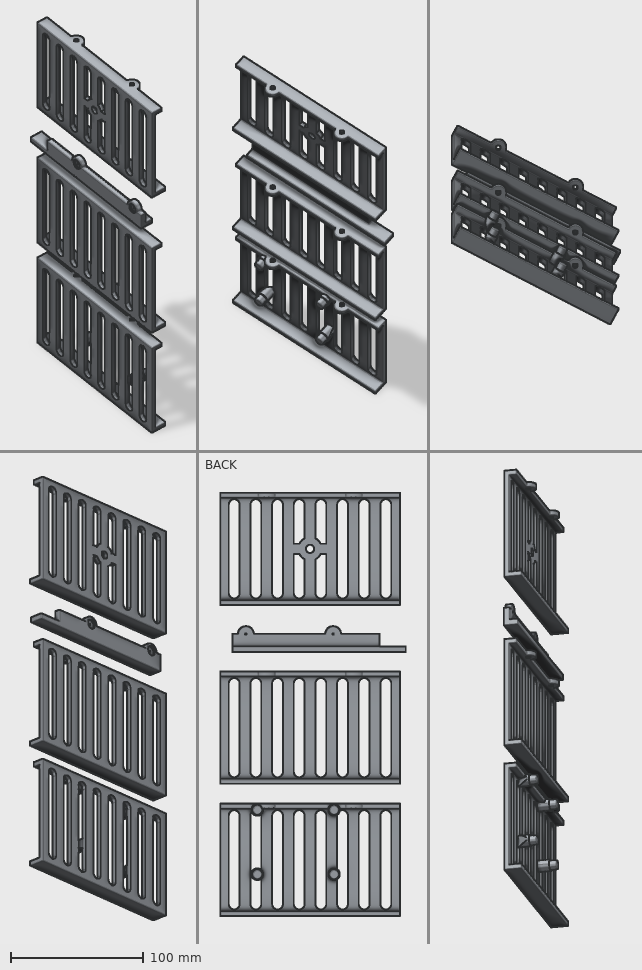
import cadquery as cq
import math

EDGE_ROUND = 0.5

WIDTH = 136.0
HEIGHT = 85.0
WALL = 4.0
TOP_FLANGE_DEPTH = 10.0
BOTTOM_FLANGE_DEPTH = 13.8

SLOT_COUNT = 8
SLOT_WIDTH = 8.0
SIDE_MARGIN = 6.7
SLOT_PITCH = (WIDTH - 2 * SIDE_MARGIN - SLOT_WIDTH) / (SLOT_COUNT - 1)
END_MARGIN = 5.0
SLOT_LENGTH = HEIGHT - 2 * END_MARGIN

EAR_RADIUS = 6.0
EAR_SPACING = 66.0
EAR_SETBACK = 0.3
EAR_HOLE_DIAMETER = 3.5

HUB_RADIUS = 9.0
HUB_HOLE_DIAMETER = 6.0
WEB_HEIGHT = 8.0

POST_RADIUS = 4.5
POST_TOP_Y = 13.0
PIN_BASE_RADIUS = 4.0
PIN_END_RADIUS = 3.5
PIN_TOP_Y = 18.5
POST_SPACING_X = 58.0
POST_SPACING_Z = 48.5
POST_LEFT_X = 50.0
POST_LOW_Z = 31.7
LEFT_POST_SLOT = 2
RIGHT_POST_SLOT = 6

BRACKET_LEFT = -4.5
BRACKET_RIGHT = 126.7
BRACKET_FRONT = -3.0
BRACKET_BOTTOM = 199.5
BRACKET_HEIGHT = 14.0
BRACKET_WALL = 4.8
LEG_DEPTH = 11.2
LEG_HEIGHT = 4.5
UPRIGHT_LEFT = 15.5
BRACKET_EAR_LEFT_X = 50.5
RECESS_DEPTH = 1.5
RECESS_DIAMETER = 7.7
PILOT_DIAMETER = 1.0

BOTTOM_GRATE_Z = 0
MIDDLE_GRATE_Z = 100.0
TOTAL_HEIGHT = 320
TOP_GRATE_Z = TOTAL_HEIGHT - HEIGHT


def box(x0, x1, y0, y1, z0, z1):
    return cq.Workplane("XY").box(x1 - x0, y1 - y0, z1 - z0, centered=False).translate((x0, y0, z0))


def rod(radius, x, z, y0, y1):
    """Round rod along Y."""
    return cq.Workplane("XZ", origin=(x, y0, z)).circle(radius).extrude(y0 - y1)


def slot_x(index):
    return WIDTH / 2 + (index - (SLOT_COUNT - 1) / 2) * SLOT_PITCH


def slots():
    places = [(slot_x(i), HEIGHT / 2) for i in range(SLOT_COUNT)]
    return cq.Workplane("XZ").pushPoints(places).slot2D(SLOT_LENGTH, SLOT_WIDTH, 90).extrude(-WALL)


def web():
    """Cross bar and round hub that interrupt the two middle slots."""
    half_bar = (SLOT_PITCH + SLOT_WIDTH) / 2
    middle = WIDTH / 2
    bar = box(
        middle - half_bar, middle + half_bar, 0, WALL,
        (HEIGHT - WEB_HEIGHT) / 2, (HEIGHT + WEB_HEIGHT) / 2,
    )
    return bar.union(rod(HUB_RADIUS, middle, HEIGHT / 2, 0, WALL))


def ear_places():
    return [(WIDTH / 2 + side * EAR_SPACING / 2, TOP_FLANGE_DEPTH - EAR_SETBACK) for side in (-1, 1)]


def grate():
    """Plate, flanges and ears, with its bottom at Z = 0."""
    body = box(0, WIDTH, 0, WALL, 0, HEIGHT)
    body = body.union(box(0, WIDTH, 0, BOTTOM_FLANGE_DEPTH, 0, WALL))
    body = body.union(box(0, WIDTH, 0, TOP_FLANGE_DEPTH, HEIGHT - WALL, HEIGHT))
    ear_plane = cq.Workplane("XY", origin=(0, 0, HEIGHT - WALL)).pushPoints(ear_places())
    body = body.union(ear_plane.circle(EAR_RADIUS).extrude(WALL))
    body = body.edges().fillet(EDGE_ROUND)
    return body.cut(slots()).cut(ear_plane.circle(EAR_HOLE_DIAMETER / 2).extrude(WALL))


def pin(x, z):
    """Slightly tapered pin along Y."""
    return (
        cq.Workplane("XZ", origin=(x, POST_TOP_Y, z))
        .circle(PIN_BASE_RADIUS)
        .workplane(offset=POST_TOP_Y - PIN_TOP_Y)
        .circle(PIN_END_RADIUS)
        .loft()
        .faces(">Y")
        .edges()
        .fillet(EDGE_ROUND)
    )


def standoff(x, z, profile):
    """Post trimmed to a side profile that tapers onto the nearest bar, with a thinner pin on its end."""
    post = rod(POST_RADIUS, x, z, 0, POST_TOP_Y)
    trim = profile.extrude(POST_RADIUS, both=True).translate((0, 0, z))
    return post.intersect(trim).union(pin(x, z))


def left_profile():
    """Sloping left side that ends at the left side of the bar."""
    bar_left = slot_x(LEFT_POST_SLOT) + SLOT_WIDTH / 2
    return cq.Workplane("XY").polyline([
        (bar_left, WALL),
        (POST_LEFT_X - POST_RADIUS, POST_TOP_Y),
        (POST_LEFT_X + POST_RADIUS, POST_TOP_Y),
        (POST_LEFT_X + POST_RADIUS, WALL),
    ]).close()


def right_profile():
    """Round right side, centred on the bar and running into the right side of the bar."""
    bar_right = slot_x(RIGHT_POST_SLOT) - SLOT_WIDTH / 2
    bar_middle = slot_x(RIGHT_POST_SLOT) - SLOT_PITCH / 2
    post_x = POST_LEFT_X + POST_SPACING_X
    radius = post_x + POST_RADIUS - bar_middle
    end_angle = math.acos((bar_right - bar_middle) / radius)
    end_y = POST_TOP_Y - radius * math.sin(end_angle)
    half = end_angle / 2
    return (
        cq.Workplane("XY")
        .moveTo(post_x - POST_RADIUS, POST_TOP_Y)
        .lineTo(post_x + POST_RADIUS, POST_TOP_Y)
        .threePointArc(
            (bar_middle + radius * math.cos(half), POST_TOP_Y - radius * math.sin(half)),
            (bar_right, end_y),
        )
        .lineTo(bar_right, WALL)
        .lineTo(post_x - POST_RADIUS, WALL)
        .close()
    )


def bottom_grate():
    body = grate()
    for z in (POST_LOW_Z, POST_LOW_Z + POST_SPACING_Z):
        body = body.union(standoff(POST_LEFT_X, z, left_profile()))
        body = body.union(standoff(POST_LEFT_X + POST_SPACING_X, z, right_profile()))
    return body.translate((0, 0, BOTTOM_GRATE_Z))


def middle_grate():
    return grate().translate((0, 0, MIDDLE_GRATE_Z))


def top_grate():
    body = grate().union(web())
    body = body.cut(rod(HUB_HOLE_DIAMETER / 2, WIDTH / 2, HEIGHT / 2, 0, WALL))
    return body.translate((0, 0, TOP_GRATE_Z))


def bracket():
    back = BRACKET_FRONT + BRACKET_WALL
    top = BRACKET_BOTTOM + BRACKET_HEIGHT
    ear_z = top - EAR_SETBACK
    ears_x = [BRACKET_EAR_LEFT_X, BRACKET_EAR_LEFT_X + EAR_SPACING]
    body = box(
        BRACKET_LEFT, BRACKET_RIGHT, BRACKET_FRONT, BRACKET_FRONT + LEG_DEPTH,
        BRACKET_BOTTOM, BRACKET_BOTTOM + LEG_HEIGHT,
    )
    body = body.union(box(UPRIGHT_LEFT, BRACKET_RIGHT, BRACKET_FRONT, back, BRACKET_BOTTOM, top))
    for x in ears_x:
        body = body.union(rod(EAR_RADIUS, x, ear_z, BRACKET_FRONT, back))
    body = body.edges().fillet(EDGE_ROUND)
    for x in ears_x:
        body = body.cut(rod(RECESS_DIAMETER / 2, x, ear_z, BRACKET_FRONT, BRACKET_FRONT + RECESS_DEPTH))
        body = body.cut(rod(PILOT_DIAMETER / 2, x, ear_z, BRACKET_FRONT, back))
    return body


result = cq.Compound.makeCompound([
    bottom_grate().val(),
    middle_grate().val(),
    top_grate().val(),
    bracket().val(),
])